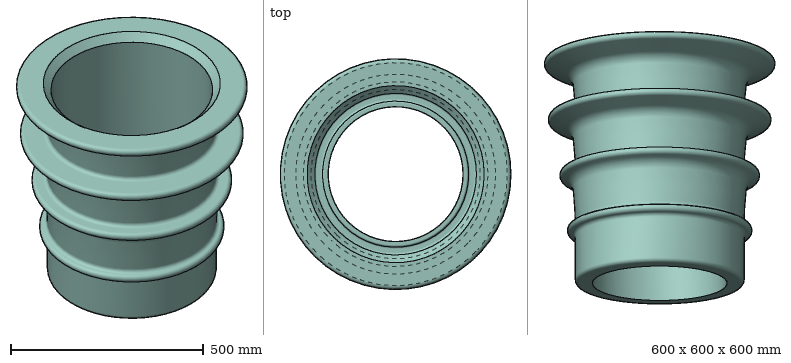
import cadquery as cq
import math

HEIGHT = 600.0
BODY_RADIUS = 440.0 / 2
BOTTOM_FILLET = 10.0
NECK_TOP_RADIUS = 450.0 / 2

RIM_RADIUS = 10.0
FLANGE_SPACING = 150.0
FLANGE_RADII = (260.0, 290.0, 300.0)
UNDERSIDE_ANGLE = math.radians(23.5)
UNDERSIDE_BLEND = 30.0
ROOT_FILLET = 10.0

RIB_RADIUS = 240.0
RIB_HEIGHT = 141.5

MOUTH_RADIUS = 460.0 / 2
BORE_RADIUS = 420.0 / 2
MOUTH_CHAMFER = MOUTH_RADIUS - BORE_RADIUS
COLLAR_OUTER_RADIUS = 380.0 / 2
COLLAR_INNER_RADIUS = 350.0 / 2
COLLAR_TOP = 120.0
GROOVE_FLOOR = COLLAR_OUTER_RADIUS - COLLAR_INNER_RADIUS
GROOVE_FILLET = 5.0


def on_circle(center, radius, angle):
    """The point of a circle at an angle in radians from the outward direction."""
    return (center[0] + radius * math.cos(angle), center[1] + radius * math.sin(angle))


def add_arc(profile, center, radius, start, end):
    """Continue the profile along an arc whose start it has already reached."""
    middle = on_circle(center, radius, (start + end) / 2)
    return profile.threePointArc(middle, on_circle(center, radius, end))


def add_line_and_arc(profile, center, radius, start, end):
    """Continue the profile straight to the start of an arc, then along it."""
    profile = profile.lineTo(*on_circle(center, radius, start))
    return add_arc(profile, center, radius, start, end)


def add_bottom_edge(profile):
    """The rounded outer edge of the foot."""
    center = (BODY_RADIUS - BOTTOM_FILLET, BOTTOM_FILLET)
    return add_line_and_arc(profile, center, BOTTOM_FILLET, -math.pi / 2, 0)


def add_rib(profile):
    """A round bead joined to the wall by a concave fillet below and above."""
    bead = (RIB_RADIUS - RIM_RADIUS, RIB_HEIGHT)
    fillet_center_radius = BODY_RADIUS + ROOT_FILLET
    reach = RIM_RADIUS + ROOT_FILLET
    lean = math.acos((fillet_center_radius - bead[0]) / reach)
    rise = reach * math.sin(lean)
    lower = (fillet_center_radius, RIB_HEIGHT - rise)
    upper = (fillet_center_radius, RIB_HEIGHT + rise)
    profile = add_line_and_arc(profile, lower, ROOT_FILLET, math.pi, math.pi - lean)
    profile = add_arc(profile, bead, RIM_RADIUS, -lean, lean)
    return add_arc(profile, upper, ROOT_FILLET, math.pi + lean, math.pi)


def add_flange(profile, radius, top):
    """The neck blend, sloping underside and rounded rim of one flange."""
    rim_center = (radius - RIM_RADIUS, top - RIM_RADIUS)
    blend_center_radius = NECK_TOP_RADIUS + UNDERSIDE_BLEND
    run = rim_center[0] - blend_center_radius
    drop = run * math.tan(UNDERSIDE_ANGLE)
    gap = (RIM_RADIUS + UNDERSIDE_BLEND) / math.cos(UNDERSIDE_ANGLE)
    blend_center = (blend_center_radius, rim_center[1] - drop - gap)
    profile = add_line_and_arc(
        profile, blend_center, UNDERSIDE_BLEND, math.pi, math.pi / 2 + UNDERSIDE_ANGLE
    )
    return add_line_and_arc(
        profile, rim_center, RIM_RADIUS, UNDERSIDE_ANGLE - math.pi / 2, math.pi / 2
    )


def add_flange_root(profile, top):
    """The fillet from the top face of a flange up into the next neck."""
    center = (BODY_RADIUS + ROOT_FILLET, top + ROOT_FILLET)
    return add_line_and_arc(profile, center, ROOT_FILLET, 1.5 * math.pi, math.pi)


def add_bore(profile):
    """The inside, from the mouth down to the groove and over the collar."""
    profile = profile.lineTo(MOUTH_RADIUS, HEIGHT)
    profile = profile.lineTo(BORE_RADIUS, HEIGHT - MOUTH_CHAMFER)
    corner_height = GROOVE_FLOOR + GROOVE_FILLET
    outer_corner = (BORE_RADIUS - GROOVE_FILLET, corner_height)
    inner_corner = (COLLAR_OUTER_RADIUS + GROOVE_FILLET, corner_height)
    collar_edge = (COLLAR_OUTER_RADIUS - GROOVE_FILLET, COLLAR_TOP - GROOVE_FILLET)
    profile = add_line_and_arc(profile, outer_corner, GROOVE_FILLET, 0, -math.pi / 2)
    profile = add_line_and_arc(profile, inner_corner, GROOVE_FILLET, -math.pi / 2, -math.pi)
    profile = add_line_and_arc(profile, collar_edge, GROOVE_FILLET, 0, math.pi / 2)
    return profile.lineTo(COLLAR_INNER_RADIUS, COLLAR_TOP)


section = cq.Workplane("XZ").moveTo(COLLAR_INNER_RADIUS, 0)
section = add_bottom_edge(section)
section = add_rib(section)
for index, flange_radius in enumerate(FLANGE_RADII):
    flange_top = HEIGHT - FLANGE_SPACING * (len(FLANGE_RADII) - 1 - index)
    section = add_flange(section, flange_radius, flange_top)
    if flange_top < HEIGHT:
        section = add_flange_root(section, flange_top)
section = add_bore(section).close()

result = section.revolve(360, (0, 0, 0), (0, 1, 0))